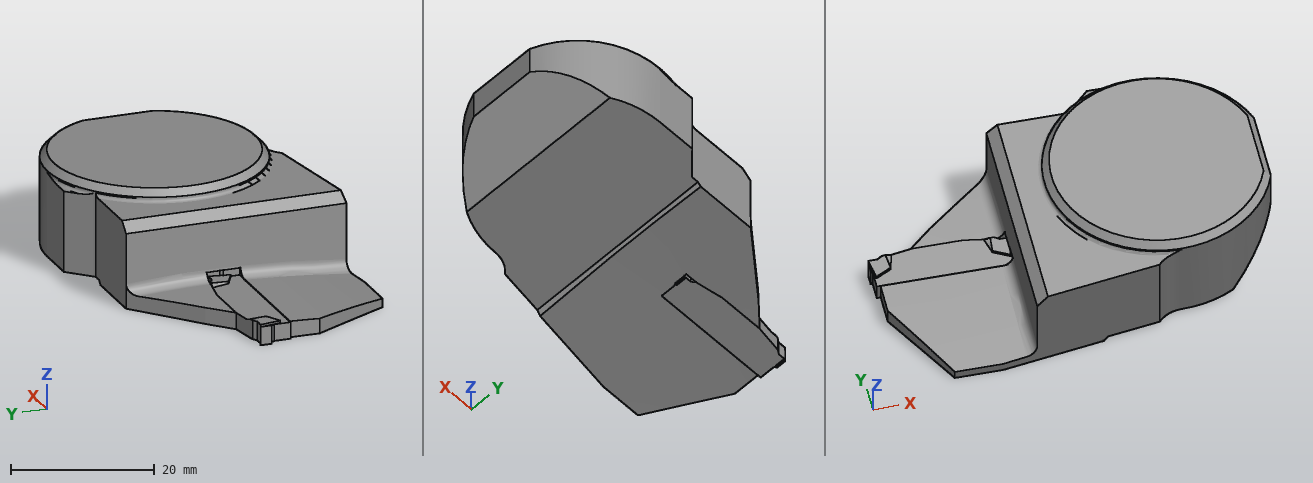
import cadquery as cq
import math

disc_radius = 16.0
flat_x = 15.05
top_z = 14.5
disc_chamfer = 1.0
disc_root_fillet = 0.5

block_front_x = -21.5
block_top_z = 12.75
block_bottom_z = 0.75
block_back_y = 12.55
front_chamfer_length = 1.55
front_chamfer_drop = 1.4
shoulder_start_x = -9.8
shoulder_end_x = -6.45
neck_x = -3.5
neck_y = -17.6
rear_bevel = 7.25
cut_reach = 2 * disc_radius

blade_tip_x = -40.3
blade_tip_y = -9.0
blade_side_y = -21.05
blade_slant_end_x = -33.4
blade_taper_start_x = -26.55
blade_knee_x = -31.25
blade_knee_y = 4.5
blade_heel_x = -11.05
blade_top_middle_z = 2.75
blade_top_back_z = 2.3
blade_top_side_z = 1.3
blade_bottom_middle_z = 0.3
blade_bottom_back_z = 0.15
blade_root_fillet = 1.55
root_margin = 0.55

insert_tip_x = -41.05
insert_half_length = 10.05
insert_middle_x = insert_tip_x + insert_half_length
insert_front_y = -4.5
insert_crest_y = 1.3
insert_crest_half = 3.7
insert_tip_y = 0.1
insert_notch_y = 0.55
insert_notch_outer = 8.7
insert_notch_inner = 8.1
insert_relief = 0.2
relief_start_y = -1.55
relief_end_y = -2.0
insert_top_z = 2.75
insert_bottom_z = 0.3
tip_top_z = 3.1
pocket_top_z = 3.9

pad_base_inner = 6.55
pad_top_inner = 7.45
pad_corner = 7.25
pad_corner_y = -1.8
pad_front = 9.55
pad_front_y = -3.05


def prism(points, bottom_z, height_z):
    """Upright prism on an XY polygon, between two heights."""
    outline = cq.Workplane("XY").workplane(offset=bottom_z).polyline(points).close()
    return outline.extrude(height_z - bottom_z)


def tapered_side_y(x):
    """Y of the straight tapered side shared by blade and block."""
    slope = (neck_y - blade_side_y) / (neck_x - blade_taper_start_x)
    return neck_y + slope * (x - neck_x)


def block_plan(bottom_z, height_z):
    """Outline of block and disc together, extruded between two heights."""
    flat_half = math.sqrt(disc_radius**2 - flat_x**2)
    arc_middle = disc_radius * math.sqrt(0.5)
    neck_rise = -disc_radius - neck_y
    neck_radius = (neck_x**2 + neck_rise**2) / (2 * neck_rise)
    neck_mid_x = neck_x / 2
    neck_mid_y = -disc_radius - neck_radius + math.sqrt(neck_radius**2 - neck_mid_x**2)
    outline = (
        cq.Workplane("XY").workplane(offset=bottom_z)
        .moveTo(block_front_x, tapered_side_y(block_front_x))
        .lineTo(neck_x, neck_y)
        .threePointArc((neck_mid_x, neck_mid_y), (0, -disc_radius))
        .threePointArc((arc_middle, -arc_middle), (flat_x, -flat_half))
        .lineTo(flat_x, flat_half)
        .threePointArc((arc_middle, arc_middle), (0, disc_radius))
        .lineTo(shoulder_end_x, disc_radius)
        .lineTo(shoulder_start_x, block_back_y)
        .lineTo(block_front_x, block_back_y)
        .close()
    )
    return outline.extrude(height_z - bottom_z)


def make_block():
    """Block with the chamfer along its upper front edge."""
    block = block_plan(block_bottom_z, block_top_z)
    chamfer = (
        cq.Workplane("XZ")
        .moveTo(block_front_x, block_top_z)
        .lineTo(block_front_x + front_chamfer_length, block_top_z)
        .lineTo(block_front_x, block_top_z - front_chamfer_drop)
        .close()
        .extrude(cut_reach, both=True)
    )
    return block.cut(chamfer)


def make_blade():
    """Curved plate filleted into the block's front wall, with a bevelled heel under the block."""
    section = (
        cq.Workplane("YZ").workplane(offset=blade_tip_x)
        .moveTo(block_back_y, blade_bottom_back_z)
        .threePointArc((0, blade_bottom_middle_z), (blade_side_y, 0))
        .lineTo(blade_side_y, blade_top_side_z)
        .threePointArc((0, blade_top_middle_z), (block_back_y, blade_top_back_z))
        .close()
        .extrude(blade_heel_x - blade_tip_x)
    )
    wall = cq.Workplane("XY").box(
        blade_heel_x - block_front_x,
        block_back_y - blade_side_y,
        block_top_z - front_chamfer_drop - block_bottom_z,
        centered=False,
    ).translate((block_front_x, blade_side_y, block_bottom_z))
    root_zone = cq.selectors.BoxSelector(
        (block_front_x - root_margin, blade_side_y / 2, blade_bottom_middle_z),
        (block_front_x + root_margin, block_back_y / 2, blade_top_middle_z + root_margin),
    )
    plate = section.union(wall).edges(root_zone).fillet(blade_root_fillet)
    heel_low_x = blade_heel_x - block_bottom_z
    heel_bevel = (
        cq.Workplane("XZ")
        .moveTo(heel_low_x, 0)
        .lineTo(blade_heel_x, block_bottom_z)
        .lineTo(blade_heel_x, 0)
        .close()
        .extrude(cut_reach, both=True)
    )
    outline = [
        (blade_tip_x, insert_front_y),
        (blade_tip_x, blade_tip_y),
        (blade_slant_end_x, blade_side_y),
        (blade_taper_start_x, blade_side_y),
        (blade_heel_x, tapered_side_y(blade_heel_x)),
        (blade_heel_x, block_back_y),
        (block_front_x, block_back_y),
        (blade_knee_x, blade_knee_y),
        (insert_middle_x - insert_crest_half, insert_crest_y),
    ]
    return plate.intersect(prism(outline, 0, block_top_z)).cut(heel_bevel)


def make_disc():
    """Disc with its flat, chamfered around the top edge."""
    disc = cq.Workplane("XY").workplane(offset=block_bottom_z).circle(disc_radius)
    disc = disc.extrude(top_z - block_bottom_z).faces(">Z").chamfer(disc_chamfer)
    beyond_flat = (
        cq.Workplane("XZ")
        .moveTo(flat_x, 0)
        .lineTo(flat_x, top_z - disc_chamfer)
        .lineTo(flat_x - disc_chamfer, top_z)
        .lineTo(disc_radius, top_z)
        .lineTo(disc_radius, 0)
        .close()
        .extrude(disc_radius, both=True)
    )
    return disc.cut(beyond_flat)


def make_disc_root():
    """Concave ring between the disc wall and the block top, kept inside the block outline."""
    arc_offset = disc_root_fillet * (1 - math.sqrt(0.5))
    root_top_z = block_top_z + disc_root_fillet
    ring = (
        cq.Workplane("XZ")
        .moveTo(disc_radius - disc_root_fillet, block_top_z)
        .lineTo(disc_radius + disc_root_fillet, block_top_z)
        .threePointArc((disc_radius + arc_offset, block_top_z + arc_offset), (disc_radius, root_top_z))
        .lineTo(disc_radius - disc_root_fillet, root_top_z)
        .close()
        .revolve(360, (0, 0, 0), (0, 1, 0))
    )
    return ring.intersect(block_plan(block_top_z, top_z))


def make_rear_bevel():
    """Wedge removed from the lower edge of the +X side."""
    return (
        cq.Workplane("XZ")
        .moveTo(flat_x - rear_bevel, block_bottom_z)
        .lineTo(flat_x, block_bottom_z + rear_bevel)
        .lineTo(flat_x, block_bottom_z)
        .close()
        .extrude(cut_reach, both=True)
    )


def insert_end(side):
    """End face outline, from front to back; side is -1 for the outer end and 1 for the inner."""
    tip_x = insert_middle_x + side * insert_half_length
    relief_x = tip_x - side * insert_relief
    return [
        (relief_x, insert_front_y),
        (relief_x, relief_end_y),
        (tip_x, relief_start_y),
        (tip_x, insert_tip_y),
    ]


def insert_back(side):
    """Stepped and sloping back edge, from one end to the crest."""
    return [
        (insert_middle_x + side * insert_notch_outer, insert_tip_y),
        (insert_middle_x + side * insert_notch_inner, insert_notch_y),
        (insert_middle_x + side * insert_crest_half, insert_crest_y),
    ]


def slope_y(distance):
    """Y of the sloping back edge at a distance from the insert's middle plane."""
    slope = (insert_notch_y - insert_crest_y) / (insert_notch_inner - insert_crest_half)
    return insert_crest_y + slope * (distance - insert_crest_half)


def make_pocket():
    """Seat of the insert: its outline, with the inner notch left open as clearance."""
    inner_x = insert_middle_x + insert_half_length
    inner_back = [
        (inner_x, insert_notch_y),
        (insert_middle_x + insert_notch_inner, insert_notch_y),
        (insert_middle_x + insert_crest_half, insert_crest_y),
    ]
    outer = insert_end(-1) + insert_back(-1)
    inner = insert_end(1) + inner_back
    return prism(outer + inner[::-1], 0, pocket_top_z)


def make_tip_pad(side):
    """Raised pad at a cutting tip, with a ramp on the side towards the middle."""
    edge = [
        (insert_middle_x + side * insert_half_length, insert_tip_y),
        (insert_middle_x + side * insert_notch_outer, insert_tip_y),
        (insert_middle_x + side * insert_notch_inner, insert_notch_y),
    ]
    corner = [
        (insert_middle_x + side * pad_corner, pad_corner_y),
        (insert_middle_x + side * pad_front, pad_front_y),
    ]
    base = edge + [(insert_middle_x + side * pad_base_inner, slope_y(pad_base_inner))] + corner
    top = edge + [(insert_middle_x + side * pad_top_inner, slope_y(pad_top_inner))] + corner
    return (
        cq.Workplane("XY").workplane(offset=insert_top_z).polyline(base).close()
        .workplane(offset=tip_top_z - insert_top_z).polyline(top).close()
        .loft(ruled=True)
    )


def make_tip_lip(side):
    """Lip of the cutting tip that reaches below the insert's underside."""
    tip_x = insert_middle_x + side * insert_half_length
    root_x = tip_x - side * insert_relief
    lip = [
        (tip_x, insert_tip_y),
        (root_x, insert_tip_y),
        (root_x, relief_start_y),
        (tip_x, relief_start_y),
    ]
    return prism(lip, 0, insert_top_z)


def make_holder():
    """Block, blade and disc as one solid, with the insert seat cut out."""
    holder = make_block().union(make_blade())
    holder = holder.union(make_disc()).union(make_disc_root())
    return holder.cut(make_rear_bevel()).cut(make_pocket())


def make_insert():
    """Double-ended cutting insert."""
    outline = insert_end(-1) + insert_back(-1) + insert_back(1)[::-1] + insert_end(1)[::-1]
    insert = prism(outline, insert_bottom_z, insert_top_z)
    for side in (-1, 1):
        insert = insert.union(make_tip_pad(side)).union(make_tip_lip(side))
    return insert


holder = make_holder()
insert = make_insert()
result = cq.Compound.makeCompound([holder.solids().val(), insert.solids().val()])